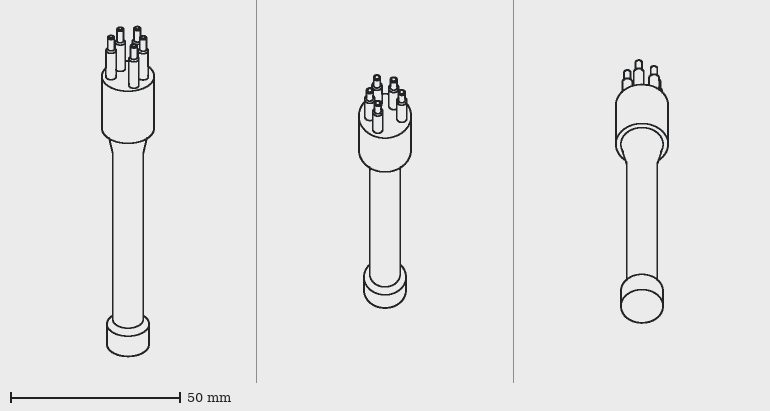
import cadquery as cq
import math

total_length = 111.5

collar_diameter = 12.5
stem_diameter = 9.0
cone_top_diameter = 12.5
head_diameter = 15.5

collar_height = 7.4
collar_bevel_height = 1.7
cone_length = 9.0
head_length = 18.8
pin_length = 14.5

head_top = total_length - pin_length
head_bottom = head_top - head_length
cone_bottom = head_bottom - cone_length

sleeve_diameter = 3.0
tip_diameter = 2.0
tip_length = 4.5
tip_chamfer = 0.3
shoulder_height = (sleeve_diameter - tip_diameter) / 2
sleeve_length = pin_length - tip_length - shoulder_height

pin_circle_radius = 5.0
pin_column_x = 4.0
upper_pair_y = 2.0
lower_pair_y = -math.sqrt(pin_circle_radius**2 - pin_column_x**2)
pin_positions = [
    (0, pin_circle_radius),
    (-pin_column_x, upper_pair_y),
    (pin_column_x, upper_pair_y),
    (-pin_column_x, lower_pair_y),
    (pin_column_x, lower_pair_y),
]


def revolve_about_z(outline):
    """Turn a closed (radius, height) outline about the Z axis."""
    return cq.Workplane("XZ").polyline(outline).close().revolve(360, (0, 0, 0), (0, 1, 0))


def make_body():
    """Collar, stem, cone and head, from bottom to top."""
    return revolve_about_z([
        (0, 0),
        (collar_diameter / 2, 0),
        (collar_diameter / 2, collar_height),
        (stem_diameter / 2, collar_height + collar_bevel_height),
        (stem_diameter / 2, cone_bottom),
        (cone_top_diameter / 2, head_bottom),
        (head_diameter / 2, head_bottom),
        (head_diameter / 2, head_top),
        (0, head_top),
    ])


def make_pin():
    """One stepped pin standing on the origin."""
    return revolve_about_z([
        (0, 0),
        (sleeve_diameter / 2, 0),
        (sleeve_diameter / 2, sleeve_length),
        (tip_diameter / 2, sleeve_length + shoulder_height),
        (tip_diameter / 2, pin_length - tip_chamfer),
        (tip_diameter / 2 - tip_chamfer, pin_length),
        (0, pin_length),
    ])


result = make_body()
pin = make_pin()
for x, y in pin_positions:
    result = result.union(pin.translate((x, y, head_top)))